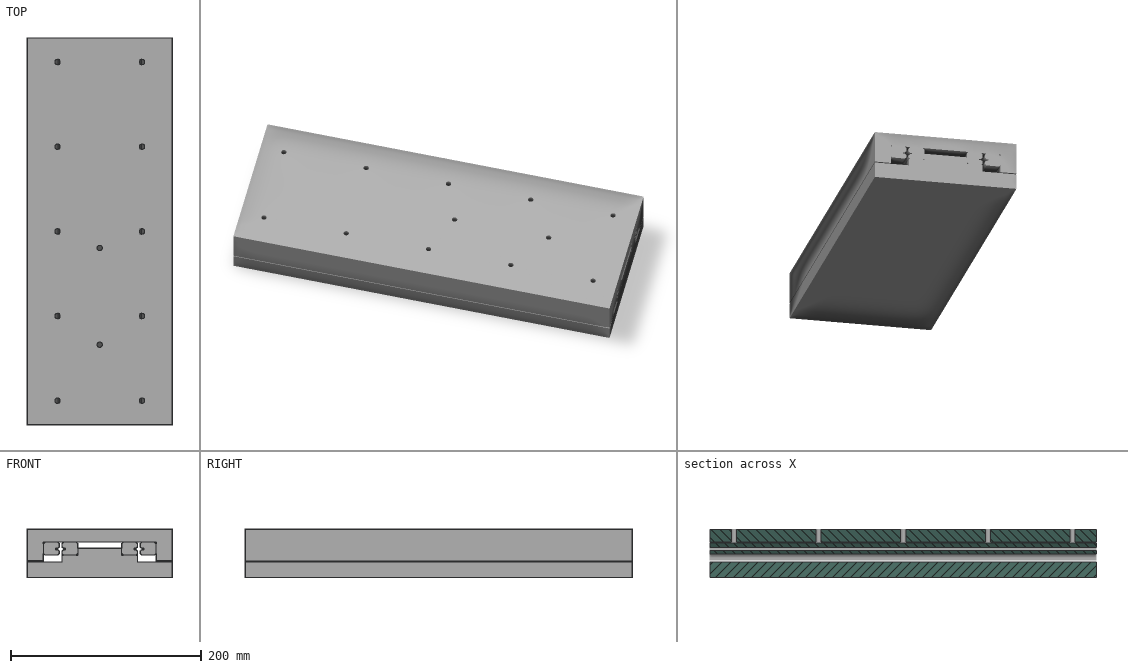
import cadquery as cq

length = 406.4
width = 152.4
height = 50.8

flange_thickness = 16.4
rail_seat_height = 23.65
base_crown_height = 31.0
pedestal_half_width = 39.7
crown_half_width = 23.0

carriage_clearance = 1.0
ceiling_height = 37.2
channel_half_width = 59.1

rail_width = 16.8
rail_chamfer = 1.6
groove_height_above_seat = 6.3
groove_mouth_height = 4.4
groove_depth = 1.9
relief_depth = 1.8
relief_height = 1.2

mounting_hole_diameter = 5.6
mounting_hole_pitch = 88.9
mounting_hole_rows = 5
mounting_hole_columns = 2
center_hole_diameter = 5.6
center_hole_pitch = 101.6
center_hole_count = 2
center_hole_middle = -68.2


def extrude_along_y(points):
    """Extrude an XZ outline over the full length, centred on Y = 0."""
    return cq.Workplane("XZ").polyline(points).close().extrude(length / 2, both=True)


def mirror_outline(right_side):
    """Complete an outline that is symmetric about X = 0 from the points of its right half."""
    left_side = [(-x, z) for x, z in reversed(right_side)]
    return right_side + left_side


def make_base():
    """Plate with a narrower pedestal and crown that leave a seat for each inner rail."""
    return extrude_along_y(mirror_outline([
        (width / 2, 0),
        (width / 2, flange_thickness),
        (pedestal_half_width, flange_thickness),
        (pedestal_half_width, rail_seat_height),
        (crown_half_width, rail_seat_height),
        (crown_half_width, base_crown_height),
    ]))


def make_carriage():
    """Channel with a grid of mounting holes and two center holes through its top."""
    top_thickness = height - ceiling_height
    underside = flange_thickness + carriage_clearance
    body = extrude_along_y(mirror_outline([
        (channel_half_width, ceiling_height),
        (channel_half_width, underside),
        (width / 2, underside),
        (width / 2, height),
    ]))
    top = cq.Workplane("XY").workplane(offset=height)
    mounting_holes = (
        top.rarray(mounting_hole_pitch, mounting_hole_pitch, mounting_hole_columns, mounting_hole_rows)
        .circle(mounting_hole_diameter / 2)
        .extrude(-top_thickness)
    )
    center_holes = (
        top.center(0, center_hole_middle)
        .rarray(center_hole_pitch, center_hole_pitch, 1, center_hole_count)
        .circle(center_hole_diameter / 2)
        .extrude(-top_thickness)
    )
    return body.cut(mounting_holes).cut(center_holes)


def make_rail(back_x, toward_groove):
    """Chamfered bar with its back at back_x and its groove facing toward_groove (+1 or -1) along X."""
    rail_height = ceiling_height - rail_seat_height
    groove_z = rail_seat_height + groove_height_above_seat
    face_x = back_x + toward_groove * rail_width
    bar = (
        cq.Workplane("XZ")
        .center(back_x + toward_groove * rail_width / 2, rail_seat_height + rail_height / 2)
        .rect(rail_width, rail_height)
        .extrude(length / 2, both=True)
        .edges("|Y")
        .chamfer(rail_chamfer)
    )
    groove_floor_x = face_x - toward_groove * groove_depth
    relief_floor_x = groove_floor_x - toward_groove * relief_depth
    groove = extrude_along_y([
        (face_x, groove_z - groove_mouth_height / 2),
        (groove_floor_x, groove_z - relief_height / 2),
        (relief_floor_x, groove_z - relief_height / 2),
        (relief_floor_x, groove_z + relief_height / 2),
        (groove_floor_x, groove_z + relief_height / 2),
        (face_x, groove_z + groove_mouth_height / 2),
    ])
    return bar.cut(groove)


base = make_base()
carriage = make_carriage()
rails = []
for side in (-1, 1):
    inner_rail = make_rail(side * crown_half_width, side)
    outer_rail = make_rail(side * channel_half_width, -side)
    rails += [inner_rail, outer_rail]

result = cq.Compound.makeCompound([base.val(), carriage.val(), *[rail.val() for rail in rails]])